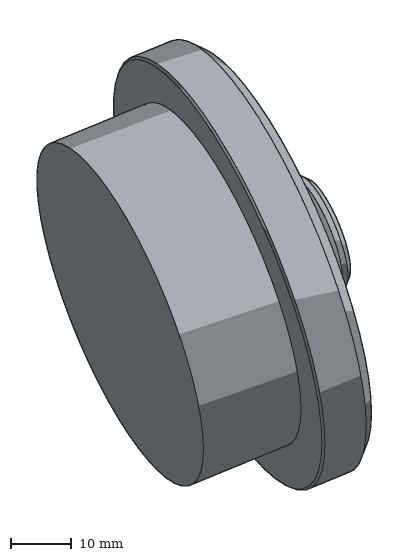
import cadquery as cq

flange_diameter = 77.0
spigot_diameter = 61.0
cone_base_diameter = 54.4
tip_diameter = 20.0

spigot_length = 18.0
flange_thickness = 10.0
cone_height = 8.0
tip_height = 2.0

flange_back_chamfer = 2.0
flange_front_chamfer = 0.4
tip_chamfer = 1.0

flange_front = spigot_length
flange_back = flange_front + flange_thickness
cone_end = flange_back + cone_height
tip_end = cone_end + tip_height

flange_radius = flange_diameter / 2
spigot_radius = spigot_diameter / 2
cone_base_radius = cone_base_diameter / 2
tip_radius = tip_diameter / 2

half_section = [
    (0, 0),
    (spigot_radius, 0),
    (spigot_radius, flange_front),
    (flange_radius - flange_front_chamfer, flange_front),
    (flange_radius, flange_front + flange_front_chamfer),
    (flange_radius, flange_back - flange_back_chamfer),
    (flange_radius - flange_back_chamfer, flange_back),
    (cone_base_radius, flange_back),
    (tip_radius, cone_end),
    (tip_radius, tip_end - tip_chamfer),
    (tip_radius - tip_chamfer, tip_end),
    (0, tip_end),
]

result = cq.Workplane("XY").polyline(half_section).close().revolve(360, (0, 0, 0), (0, 1, 0))